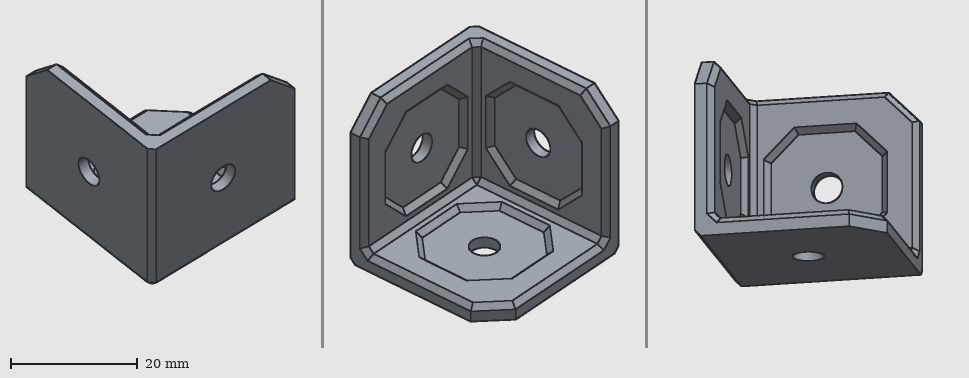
import cadquery as cq
import math

size = 30.0
wall = size / 10
bevel = wall / 3
corner_cut = size / 6
hole_diameter = size / 6
pocket_width = size * 2 / 3
pocket_corner = pocket_width / 4
pocket_depth = bevel

middle = size / 2
inner_x = size - wall
inner_y = wall
inner_z = wall
tolerance = 0.003


def make_shell():
    """Three mutually perpendicular plates with beveled inner and outer bends."""
    block = cq.Workplane("XY").box(size, size, size, centered=False)
    block = block.edges("(>X and <Y) or (>X and <Z) or (<Y and <Z)").chamfer(bevel)
    room = cq.Workplane("XY").box(inner_x, size - inner_y, size - inner_z, centered=False)
    room = room.edges("(>X and <Y) or (>X and <Z) or (<Y and <Z)").chamfer(bevel)
    return block.cut(room.translate((0, inner_y, inner_z)))


def corner_prism(plane, corner, u_direction, v_direction):
    """Triangular bar through the part that removes one free plate corner."""
    u, v = corner
    outline = [corner, (u + u_direction * corner_cut, v), (u, v + v_direction * corner_cut)]
    return cq.Workplane(plane).polyline(outline).close().extrude(size, both=True)


def is_rim_edge(edge):
    """True for the inner edges along the open boundary of the plates."""
    core_reach = wall + bevel + tolerance
    for vertex in edge.Vertices():
        x, y, z = vertex.toTuple()
        inside = x < inner_x + tolerance and y > inner_y - tolerance and z > inner_z - tolerance
        at_core = x > size - core_reach and y < core_reach and z < core_reach
        if at_core or not inside:
            return False
    return True


def octagon(width, corner):
    """Square of the given width with its four corners cut off."""
    return cq.Sketch().rect(width, width).vertices().chamfer(corner)


def make_pocket(plane):
    """Octagonal recess whose sides slope inward at 45 degrees, with a through hole."""
    floor_width = pocket_width - 2 * pocket_depth
    floor_corner = pocket_corner - pocket_depth * (2 - math.sqrt(2))
    mouth = octagon(pocket_width, pocket_corner)
    floor = octagon(floor_width, floor_corner)
    floor = floor.moved(cq.Location(cq.Vector(0, 0, -pocket_depth)))
    recess = cq.Workplane(plane).placeSketch(mouth, floor).loft()
    hole = cq.Workplane(plane).circle(hole_diameter / 2).extrude(-2 * wall)
    return recess.union(hole)


result = make_shell()

result = result.cut(corner_prism("XZ", (0, size), 1, -1))
result = result.cut(corner_prism("XY", (0, size), 1, -1))
result = result.cut(corner_prism("YZ", (size, size), -1, -1))

rim_edges = [edge for edge in result.edges().vals() if is_rim_edge(edge)]
result = result.newObject(rim_edges).chamfer(bevel)

pocket_planes = [
    cq.Plane(origin=(middle, middle, inner_z), xDir=(1, 0, 0), normal=(0, 0, 1)),
    cq.Plane(origin=(middle, inner_y, middle), xDir=(1, 0, 0), normal=(0, 1, 0)),
    cq.Plane(origin=(inner_x, middle, middle), xDir=(0, 1, 0), normal=(-1, 0, 0)),
]
for pocket_plane in pocket_planes:
    result = result.cut(make_pocket(pocket_plane))